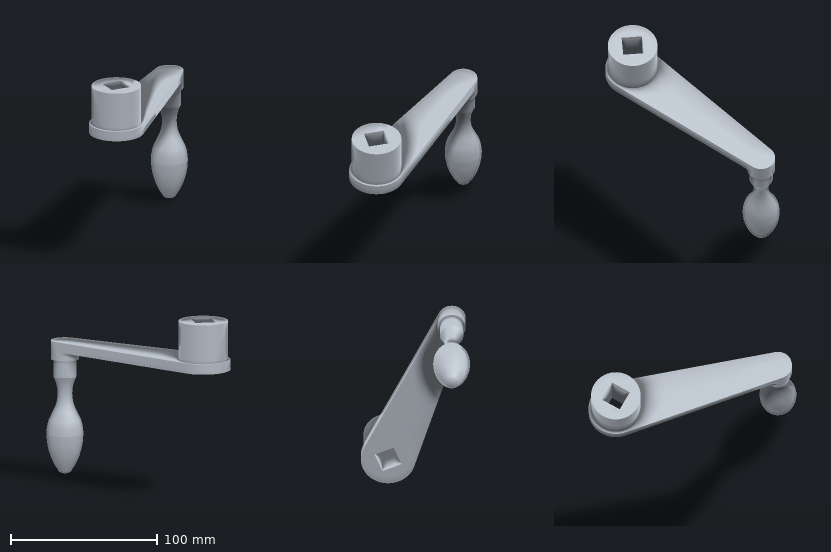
import cadquery as cq
import math

crank_length = 115.1
arm_thickness = 7.0
hub_end_radius = 37.3 / 2
handle_end_radius = 19.2 / 2

hub_diameter = 34.0
hub_height = 27.0
drive_square = 14.0
drive_angle = 45

boss_height = 6.0
collar_radius = 16.0 / 2
collar_length = 12.0
waist_radius = 5.0
neck_length = 24.0
grip_length = 44.0
grip_radius = 25.3 / 2
grip_bulge_depth = 16.1
tip_cap_radius = 4.2
tip_cap_height = 1.6


def make_arm():
    """Plate bounded by two end arcs and their common tangent lines."""
    taper = math.asin((hub_end_radius - handle_end_radius) / crank_length)
    hub_x = hub_end_radius * math.cos(taper)
    hub_y = hub_end_radius * math.sin(taper)
    tip_x = handle_end_radius * math.cos(taper)
    tip_y = crank_length + handle_end_radius * math.sin(taper)
    return (
        cq.Workplane("XY")
        .moveTo(hub_x, hub_y)
        .lineTo(tip_x, tip_y)
        .threePointArc((0, crank_length + handle_end_radius), (-tip_x, tip_y))
        .lineTo(-hub_x, hub_y)
        .threePointArc((0, -hub_end_radius), (hub_x, hub_y))
        .close()
        .extrude(arm_thickness)
    )


def make_hub():
    return cq.Workplane("XY").circle(hub_diameter / 2).extrude(arm_thickness + hub_height)


def make_drive_hole():
    return (
        cq.Workplane("XY")
        .rect(drive_square, drive_square)
        .extrude(arm_thickness + hub_height)
        .rotate((0, 0, 0), (0, 0, 1), drive_angle)
    )


def bulge_arc_middle(bulge_z, end_radius, end_z):
    """Midpoint of the arc from the widest point of the grip, where it runs parallel to the axis."""
    drop = grip_radius - end_radius
    run = end_z - bulge_z
    arc_radius = (run**2 + drop**2) / (2 * drop)
    half_angle = math.asin(run / arc_radius) / 2
    middle_radius = grip_radius - arc_radius * (1 - math.cos(half_angle))
    return middle_radius, bulge_z + arc_radius * math.sin(half_angle)


def make_handle():
    """Turned boss, collar, waisted neck and bulging grip."""
    collar_top = -boss_height
    neck_top = collar_top - collar_length
    grip_top = neck_top - neck_length
    tip = grip_top - grip_length

    waist_z = neck_top - neck_length / 2
    bulge_z = grip_top - grip_bulge_depth
    cap_z = tip + tip_cap_height
    upper_middle = bulge_arc_middle(bulge_z, collar_radius, grip_top)
    lower_middle = bulge_arc_middle(bulge_z, tip_cap_radius, cap_z)

    cap_sphere_radius = (tip_cap_radius**2 + tip_cap_height**2) / (2 * tip_cap_height)
    cap_half_angle = math.asin(tip_cap_radius / cap_sphere_radius) / 2
    cap_middle = (
        cap_sphere_radius * math.sin(cap_half_angle),
        tip + cap_sphere_radius * (1 - math.cos(cap_half_angle)),
    )
    return (
        cq.Workplane("XZ")
        .moveTo(0, arm_thickness)
        .lineTo(handle_end_radius, arm_thickness)
        .lineTo(handle_end_radius, collar_top)
        .lineTo(collar_radius, collar_top)
        .lineTo(collar_radius, neck_top)
        .threePointArc((waist_radius, waist_z), (collar_radius, grip_top))
        .threePointArc(upper_middle, (grip_radius, bulge_z))
        .threePointArc(lower_middle, (tip_cap_radius, cap_z))
        .threePointArc(cap_middle, (0, tip))
        .close()
        .revolve(360, (0, 0, 0), (0, 1, 0))
        .translate((0, crank_length, 0))
    )


result = make_arm().union(make_hub()).union(make_handle()).cut(make_drive_hole())